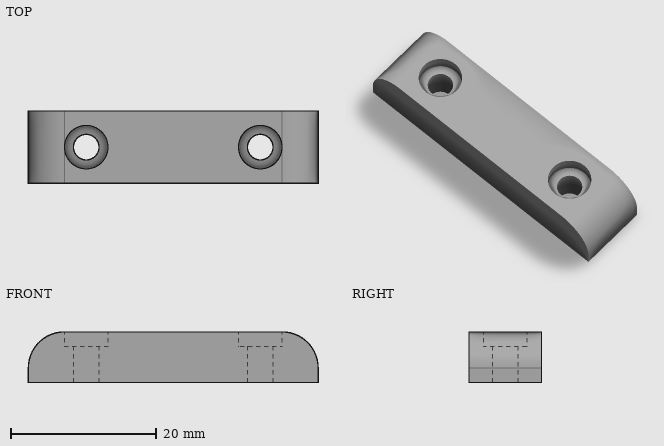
import cadquery as cq

length = 40.0
width = 10.0
height = 7.0
end_radius = 5.0

hole_spacing = 24.0
hole_diameter = 3.5
counterbore_diameter = 6.0
counterbore_depth = 2.0


def make_body():
    """Bar resting on Z = 0 with both upper ends rounded over."""
    block = cq.Workplane("XY").box(length, width, height, centered=(True, True, False))
    return block.faces(">Z").edges("|Y").fillet(end_radius)


def drill_screw_holes(body):
    """Two through holes on the centre line, counterbored from the top."""
    return (
        body.faces(">Z")
        .workplane(origin=(0, 0, height))
        .pushPoints([(-hole_spacing / 2, 0), (hole_spacing / 2, 0)])
        .cboreHole(hole_diameter, counterbore_diameter, counterbore_depth)
    )


result = drill_screw_holes(make_body())